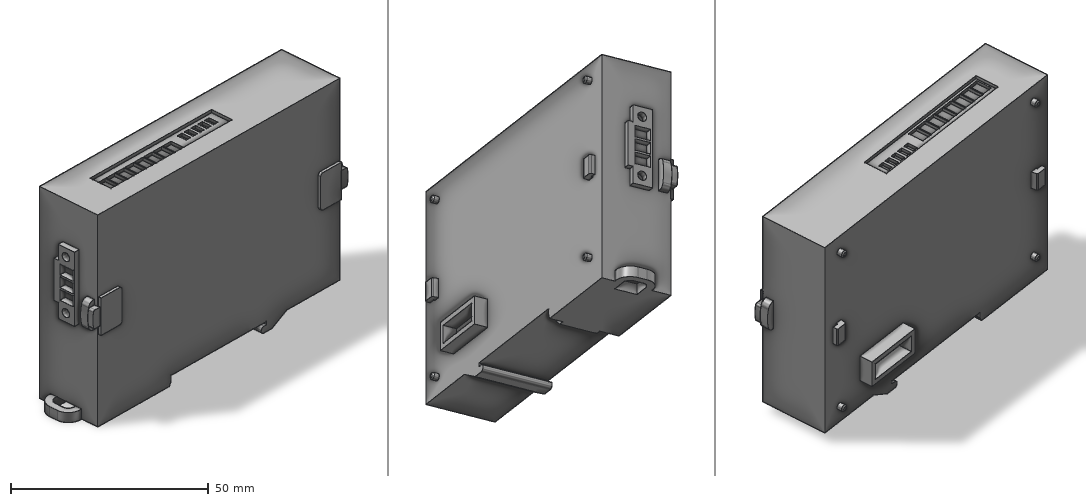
import cadquery as cq
import math

case_width = 20.2
case_length = 90.0
case_height = 60.2
mid_length = case_length / 2
mid_height = case_height / 2

foot_depth = 3.0
foot_length = 27.3
foot_bevel_length = 0.7
foot_bevel_height = 1.3
hook_heel = 70.2
hook_toe = 64.7
hook_neck = 62.8
hook_tip = 60.7
hook_gap = 1.0

slider_centre = 9.2
slider_width = 10.8
catch_tip = 30.1
catch_toe = 28.2
catch_top = -1.2
catch_nose = 0.3
ring_reach = 4.7
ring_slot_end = 3.9
ring_wall = 2.1
ring_radius = 4.1

socket_reach = 3.9
socket_length = 17.4
socket_height = 8.0
socket_wall = 1.5
socket_mid_y = 67.0
socket_mid_z = 12.1

pin_radius = 1.0
pin_reach = 1.8
pin_chamfer = 0.4
pin_spacing_y = 78.1
pin_low_z = 5.15
pin_high_z = 55.3
clip_reach = 1.8
clip_height = 5.3
clip_inset = 2.9
clip_length = 3.7
clip_lip = 1.7
clip_gap = 0.4
clip_edge = 0.3

plug_left = 8.2
plug_right = 13.8
plug_height = 22.15
plug_mid_z = 36.1
plug_reach = 1.75
key_width = 1.5
key_height = 12.6
terminal_x = 11.0
terminal_width = 4.5
terminal_height = 3.2
terminal_pitch = 3.8
terminal_depth = 1.9
screw_x = 10.8
screw_radius = 1.3
screw_spacing = 16.7

window_left = 6.7
window_right = 13.9
window_front = 11.7
window_back = 56.7
window_depth = 1.0
lamp_count = 5
lamp_x = 9.4
lamp_width = 3.0
lamp_length = 1.7
lamp_pitch = 2.5
lamp_first_y = 43.6
lamp_depth = 1.0
switch_count = 8
switch_x = 10.9
switch_width = 4.7
switch_length = 3.1
switch_pitch = 3.5
switch_first_y = 13.7
switch_depth = 1.0

latch_thickness = 0.9
latch_length = 7.8
latch_height = 11.2
latch_inset = 0.3
latch_corner = 0.9
knob_reach = 2.5
knob_left = 16.6
knob_right = 19.0
knob_half_height = 4.5
knob_corner = 1.9
neck_reach = 2.4
neck_right = 20.8
neck_half_height = 2.8
neck_corner = 0.6
crown_radius = 12.6


def block(x_range, y_range, z_range):
    """Box between the given limits."""
    x0, x1 = x_range
    y0, y1 = y_range
    z0, z1 = z_range
    return cq.Workplane("XY").box(x1 - x0, y1 - y0, z1 - z0, centered=False).translate((x0, y0, z0))


def centred(middle, size):
    """Limits of a span with the given middle and size."""
    return (middle - size / 2, middle + size / 2)


def mirror_to_rear(feature):
    """Copy of a front feature on the rear half of the housing."""
    return feature.mirror("XZ", (0, mid_length, 0))


def make_case():
    """Housing with the rail foot and the fixed rail hook, one outline across the width."""
    tip_radius = (foot_depth - hook_gap) / 2
    tip_centre = hook_tip + tip_radius
    return (
        cq.Workplane("YZ")
        .moveTo(0, case_height)
        .lineTo(0, -foot_depth)
        .lineTo(foot_length - foot_bevel_length, -foot_depth)
        .lineTo(foot_length, -foot_depth + foot_bevel_height)
        .lineTo(foot_length, 0)
        .lineTo(hook_neck, 0)
        .lineTo(hook_neck, -hook_gap)
        .lineTo(tip_centre, -hook_gap)
        .threePointArc((hook_tip, -hook_gap - tip_radius), (tip_centre, -foot_depth))
        .lineTo(hook_toe, -foot_depth)
        .lineTo(hook_heel, 0)
        .lineTo(case_length, 0)
        .lineTo(case_length, case_height)
        .close()
        .extrude(case_width)
    )


def make_catch():
    """Sprung rail catch that pokes out behind the foot."""
    left, _ = centred(slider_centre, slider_width)
    return (
        cq.Workplane("YZ", origin=(left, 0, 0))
        .moveTo(foot_length - foot_bevel_length, -foot_depth)
        .lineTo(catch_toe, -foot_depth)
        .lineTo(catch_tip, catch_top - catch_nose)
        .lineTo(catch_tip, catch_top)
        .lineTo(foot_length - foot_bevel_length, catch_top)
        .close()
        .extrude(slider_width)
    )


def make_ring_loop(width, front, back, radius):
    """Flat block with two rounded front corners, as deep as the foot."""
    return (
        block(centred(slider_centre, width), (-front, back), (-foot_depth, 0))
        .edges("|Z")
        .edges("<Y")
        .fillet(radius)
    )


def make_ring():
    """Solid pull ring in front of the foot."""
    return make_ring_loop(slider_width, ring_reach, 0, ring_radius)


def make_ring_slot():
    """Finger opening of the ring, running on into the foot."""
    return make_ring_loop(
        slider_width - 2 * ring_wall, ring_reach - ring_wall, ring_slot_end, ring_radius - ring_wall
    )


def make_socket():
    """Rectangular connector shell, open down to the housing wall."""
    shell = block(
        (-socket_reach, 0),
        centred(socket_mid_y, socket_length),
        centred(socket_mid_z, socket_height),
    )
    cavity = block(
        (-socket_reach, 0),
        centred(socket_mid_y, socket_length - 2 * socket_wall),
        centred(socket_mid_z, socket_height - 2 * socket_wall),
    )
    return shell.cut(cavity)


def make_pins():
    """Four locating pins with chamfered tips."""
    spots = [(y, z) for y in centred(mid_length, pin_spacing_y) for z in (pin_low_z, pin_high_z)]
    return (
        cq.Workplane("YZ")
        .pushPoints(spots)
        .circle(pin_radius)
        .extrude(-pin_reach)
        .faces("<X")
        .chamfer(pin_chamfer)
    )


def make_clip():
    """Front snap clip: a stem with a lip hooking toward the front."""
    lip_end = clip_inset
    stem_end = clip_inset + clip_length
    return (
        cq.Workplane("XY", origin=(0, 0, mid_height - clip_height / 2))
        .moveTo(0, lip_end + clip_lip)
        .lineTo(-clip_gap, lip_end + clip_lip)
        .lineTo(-clip_gap, lip_end)
        .lineTo(-clip_reach + clip_edge, lip_end)
        .lineTo(-clip_reach, lip_end + clip_edge)
        .lineTo(-clip_reach, stem_end - 2 * clip_edge)
        .lineTo(-clip_reach + clip_edge, stem_end - clip_edge)
        .lineTo(0, stem_end)
        .close()
        .extrude(clip_height)
    )


def make_plug():
    """Raised terminal plug with a key rib along its left side."""
    housing = block((plug_left, plug_right), (-plug_reach, 0), centred(plug_mid_z, plug_height))
    key = block((plug_left - key_width, plug_left), (-plug_reach, 0), centred(plug_mid_z, key_height))
    return housing.union(key)


def make_plug_openings():
    """Three wire openings between two screw holes."""
    face = cq.Workplane("XZ", origin=(0, -plug_reach, plug_mid_z))
    wires = (
        face.pushPoints([(terminal_x, row * terminal_pitch) for row in (-1, 0, 1)])
        .rect(terminal_width, terminal_height)
        .extrude(-terminal_depth)
    )
    screws = (
        face.pushPoints([(screw_x, z) for z in centred(0, screw_spacing)])
        .circle(screw_radius)
        .extrude(-terminal_depth)
    )
    return wires.union(screws)


def make_window():
    """Recess in the top."""
    return block(
        (window_left, window_right),
        (window_front, window_back),
        (case_height - window_depth, case_height),
    )


def make_window_row(count, x, first_y, pitch, width, length, depth):
    """Row of pockets running along Y, sunk into the window floor."""
    spots = [(x, first_y + i * pitch) for i in range(count)]
    floor = cq.Workplane("XY", origin=(0, 0, case_height - window_depth))
    return floor.pushPoints(spots).rect(width, length).extrude(-depth)


def make_lamp_pockets():
    """Small pockets for the indicator lamps."""
    return make_window_row(
        lamp_count, lamp_x, lamp_first_y, lamp_pitch, lamp_width, lamp_length, lamp_depth
    )


def make_switch_pockets():
    """Larger pockets for the switches."""
    return make_window_row(
        switch_count, switch_x, switch_first_y, switch_pitch, switch_width, switch_length, switch_depth
    )


def make_crown(left, right, reach, half_height, corner):
    """Rounded finger pad with a gently bulging front and softened upper and lower corners."""
    side_reach = reach - crown_radius + math.sqrt(crown_radius**2 - half_height**2)
    return (
        cq.Workplane("YZ", origin=(left, 0, mid_height))
        .moveTo(0, -half_height)
        .lineTo(-side_reach, -half_height)
        .threePointArc((-reach, 0), (-side_reach, half_height))
        .lineTo(0, half_height)
        .close()
        .extrude(right - left)
        .edges("|X")
        .edges("<Y")
        .fillet(corner)
    )


def make_latch():
    """Front latch: a plate on the right side with a crowned knob on a narrower neck."""
    plate = (
        block(
            (case_width, case_width + latch_thickness),
            (latch_inset, latch_inset + latch_length),
            centred(mid_height, latch_height),
        )
        .edges("|X")
        .edges(">Y")
        .fillet(latch_corner)
    )
    knob = make_crown(knob_left, knob_right, knob_reach, knob_half_height, knob_corner)
    neck = make_crown(knob_right, neck_right, neck_reach, neck_half_height, neck_corner)
    arm = block(
        (case_width, neck_right),
        (0, latch_inset),
        centred(mid_height, 2 * neck_half_height),
    )
    return plate.union(knob).union(neck).union(arm)


clip = make_clip()
latch = make_latch()

body = make_case()
for left_side_part in (make_socket(), make_pins(), clip, mirror_to_rear(clip)):
    body = body.union(left_side_part)
for end_part in (make_catch(), make_ring(), make_plug(), latch, mirror_to_rear(latch)):
    body = body.union(end_part)

for opening in (
    make_ring_slot(),
    make_plug_openings(),
    make_window(),
    make_lamp_pockets(),
    make_switch_pockets(),
):
    body = body.cut(opening)

result = body